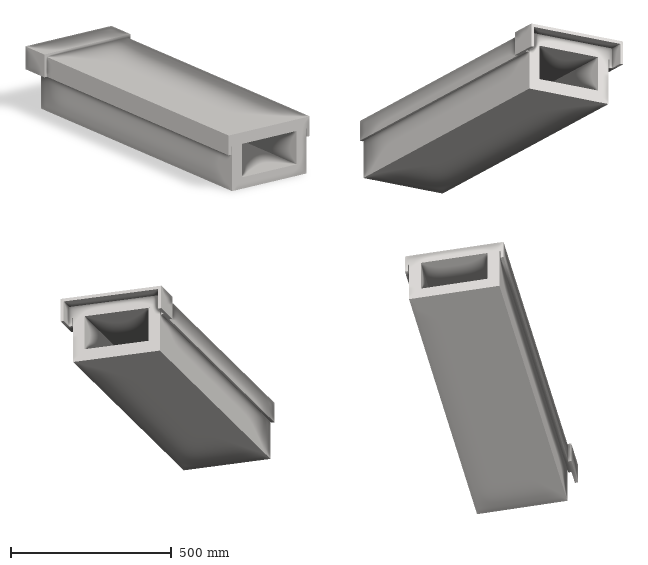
import cadquery as cq

total_length = 1050.0
total_width = 334.0
total_height = 195.0

sheet = 10.0
board = 38.0

cap_length = 100.0
cap_overhang = 50.0
skirt_height = 65.0
channel_width = 288.0

lid_top = total_height - sheet
lid_bottom = lid_top - board
skirt_bottom = lid_top - skirt_height
strip_outer_y = total_width / 2 - sheet
lid_half_width = strip_outer_y - sheet
body_length = total_length - cap_overhang


def block(x_start, length, y_start, width, z_start, height):
    """Box placed by its lowest corner."""
    return cq.Workplane("XY").box(length, width, height, centered=False).translate((x_start, y_start, z_start))


def make_channel():
    """Open-topped U channel running along X."""
    outer = block(cap_overhang, body_length, -channel_width / 2, channel_width, 0, lid_bottom)
    inner_width = channel_width - 2 * board
    cavity = block(cap_overhang, body_length, -inner_width / 2, inner_width, board, lid_bottom - board)
    return outer.cut(cavity)


def make_lid():
    """Flat board resting on the channel walls."""
    return block(cap_overhang, body_length, -lid_half_width, 2 * lid_half_width, lid_bottom, board)


def make_skirt(x_start, length, inner_y, side):
    """Upright plate flush with the lid top; side is -1 or +1 along Y."""
    y_start = inner_y if side > 0 else -inner_y - sheet
    return block(x_start, length, y_start, sheet, skirt_bottom, skirt_height)


def make_side_strip(side):
    """Long strip covering one edge of the lid."""
    return make_skirt(cap_overhang, body_length, lid_half_width, side)


def make_cap_cheek(side):
    """Short end-cap plate outside one side strip."""
    return make_skirt(0, cap_length, strip_outer_y, side)


def make_cap_plate():
    """Top plate of the end cap, resting on the lid, strips and cheeks."""
    return block(0, cap_length, -total_width / 2, total_width, lid_top, sheet)


channel = make_channel()
lid = make_lid()
cap_plate = make_cap_plate()
side_strips = []
cap_cheeks = []
for side in (-1, 1):
    side_strips.append(make_side_strip(side).val())
    cap_cheeks.append(make_cap_cheek(side).val())

result = cq.Compound.makeCompound([
    channel.val(),
    lid.val(),
    cap_plate.val(),
    *side_strips,
    *cap_cheeks,
])